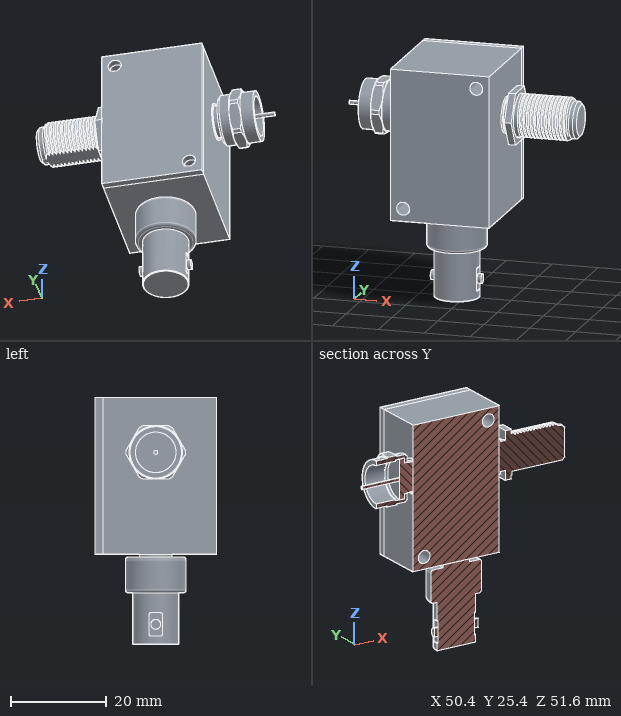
import cadquery as cq
import math


box_width = 21.5
box_depth = 25.4
box_height = 32.75
cover_thickness = 1.65
box_top = 11.45
box_bottom = box_top - box_height
screw_hole_diameter = 2.8
screw_hole_inset = 2.8

neck_radius = 3.4
hex_across_flats = 11.15
stub_radius = 3.9

plug_stub_length = 0.2
nut_rear = 1.4
nut_front = 9.2
nut_radius = 5.35
nut_rear_chamfer = 0.5
nut_hex_start = 4.0
nut_hex_end = 6.45
nut_hex_corner_radius = 6.2
nut_hex_bevel_radial = 0.6
nut_hex_bevel_axial = 0.35
nut_bore_radius = 4.25
nut_lip_end = 4.3
nut_seat = 2.15
plug_flange_radius = 4.5
plug_flange_front = 3.35
pin_radius = 0.4
pin_tip = 12.65

jack_stub_length = 0.35
jack_hex_start = 1.45
jack_hex_end = 2.95
jack_flat_start = 3.15
jack_flat_offset = 3.9
thread_start = 3.45
thread_end = 14.1
thread_radius = 4.7
thread_depth = 0.4
groove_end = 14.55
thread_turns = 14
groove_width = 0.55
groove_clearance = 0.05
jack_tip_start = 14.7
jack_tip_radius = 3.95
jack_tip_chamfer = 0.65
jack_length = 16.25

collar_start = 0.5
collar_end = 8.05
collar_radius = 6.35
collar_fillet = 0.6
socket_length = 51.6 - box_height
socket_radius = 4.85
socket_end_chamfer = 0.15
lug_distance = 14.6
lug_radius = 1.05
lug_reach = 5.5
lug_flat_offset = 4.65
lug_flat_length = 4.95
lug_flat_width = 2.85
lug_flat_corner = 0.5


def cylinder(start, end, radius):
    """Solid cylinder on the X axis."""
    return cq.Workplane("YZ", origin=(start, 0, 0)).circle(radius).extrude(end - start)


def turned(profile):
    """Solid turned about the X axis from (distance, radius) points that start and end on the axis."""
    return cq.Workplane("XY").polyline(profile).close().revolve(360, (0, 0, 0), (1, 0, 0))


def hexagon(start, end):
    """Hexagonal prism on the X axis with corners toward +Y and -Y."""
    across_corners = hex_across_flats / math.cos(math.pi / 6)
    return cq.Workplane("YZ", origin=(start, 0, 0)).polygon(6, across_corners).extrude(end - start)


def place_plug(body):
    """Turn a body that points along +X onto the -X wall."""
    return body.rotate((0, 0, 0), (0, 0, 1), 180).translate((-box_width / 2, 0, 0))


def place_jack(body):
    """Move a body that points along +X onto the +X wall."""
    return body.translate((box_width / 2, 0, 0))


def place_socket(body):
    """Turn a body that points along +X onto the bottom wall."""
    return body.rotate((0, 0, 0), (0, 1, 0), 90).translate((0, 0, box_bottom))


def box_slab(front_y, thickness):
    """Full-size slab of the box with the two screw holes through it."""
    middle_z = box_top - box_height / 2
    slab = cq.Workplane("XY").box(box_width, thickness, box_height)
    slab = slab.translate((0, front_y + thickness / 2, middle_z))
    hole_x = box_width / 2 - screw_hole_inset
    hole_z = box_height / 2 - screw_hole_inset
    for side in (1, -1):
        start = (side * hole_x, front_y, middle_z + side * hole_z)
        hole = cq.Workplane("XZ", origin=start).circle(screw_hole_diameter / 2).extrude(-thickness)
        slab = slab.cut(hole)
    return slab


def make_housing():
    return box_slab(-box_depth / 2, box_depth - cover_thickness)


def make_cover():
    return box_slab(box_depth / 2 - cover_thickness, cover_thickness)


def make_coupling_nut():
    """Round nut with a bevelled hexagon, bored for the mating thread and the plug flange."""
    sleeve = cylinder(nut_rear, nut_front, nut_radius).faces("<X").chamfer(nut_rear_chamfer)
    bevel_radius = nut_hex_corner_radius - nut_hex_bevel_radial
    rounded_corners = turned([
        (nut_hex_start, 0),
        (nut_hex_start, bevel_radius),
        (nut_hex_start + nut_hex_bevel_axial, nut_hex_corner_radius),
        (nut_hex_end - nut_hex_bevel_axial, nut_hex_corner_radius),
        (nut_hex_end, bevel_radius),
        (nut_hex_end, 0),
    ])
    nut = sleeve.union(hexagon(nut_hex_start, nut_hex_end).intersect(rounded_corners))
    nut = nut.cut(cylinder(nut_rear, nut_front, neck_radius))
    nut = nut.cut(cylinder(nut_seat, nut_lip_end, plug_flange_radius))
    nut = nut.cut(cylinder(nut_lip_end, nut_front, nut_bore_radius))
    return place_plug(nut)


def make_plug_body():
    """Neck with a flange that the coupling nut holds."""
    body = turned([
        (0, 0),
        (0, stub_radius),
        (plug_stub_length, stub_radius),
        (plug_stub_length, neck_radius),
        (nut_seat, neck_radius),
        (nut_seat, plug_flange_radius),
        (plug_flange_front, plug_flange_radius),
        (plug_flange_front, 0),
    ])
    return place_plug(body)


def make_plug_pin():
    return place_plug(cylinder(plug_flange_front, pin_tip, pin_radius))


def thread_groove():
    """V-shaped helical groove, made around Z and laid along X, that runs out on the end taper."""
    length = groove_end - thread_start
    helix = cq.Wire.makeHelix(length / thread_turns, length, thread_radius)
    section = cq.Workplane("XZ").polyline([
        (thread_radius + groove_clearance, -groove_width / 2),
        (thread_radius + groove_clearance, groove_width / 2),
        (thread_radius - thread_depth, 0),
    ]).close()
    groove = section.sweep(cq.Workplane(obj=helix), isFrenet=True)
    return groove.rotate((0, 0, 0), (0, 1, 0), 90).translate((thread_start, 0, 0))


def make_jack():
    """Hexagon flange and threaded barrel with a flat along its lower side."""
    jack = turned([
        (0, 0),
        (0, stub_radius),
        (jack_stub_length, stub_radius),
        (jack_stub_length, neck_radius),
        (jack_hex_end, neck_radius),
        (jack_hex_end, thread_radius),
        (thread_end, thread_radius),
        (jack_tip_start, jack_tip_radius),
        (jack_length - jack_tip_chamfer, jack_tip_radius),
        (jack_length, jack_tip_radius - jack_tip_chamfer),
        (jack_length, 0),
    ])
    below_flat = cq.Workplane("XY").box(
        jack_length - jack_flat_start, 2 * thread_radius, thread_radius, centered=(False, True, False)
    ).translate((jack_flat_start, 0, -jack_flat_offset - thread_radius))
    jack = jack.cut(below_flat)
    jack = jack.cut(thread_groove())
    jack = jack.union(hexagon(jack_hex_start, jack_hex_end))
    return place_jack(jack)


def make_socket():
    """Stepped round socket with two opposite flats for the bayonet lugs."""
    neck = cylinder(0, collar_start, neck_radius)
    collar = cylinder(collar_start, collar_end, collar_radius).edges().fillet(collar_fillet)
    barrel = cylinder(collar_end, socket_length, socket_radius).faces(">X").chamfer(socket_end_chamfer)
    socket = neck.union(collar).union(barrel)
    flat_pocket = (
        cq.Workplane("XY", origin=(lug_distance, 0, lug_flat_offset))
        .rect(lug_flat_length, lug_flat_width)
        .extrude(socket_radius - lug_flat_offset)
        .edges("|Z")
        .fillet(lug_flat_corner)
    )
    socket = socket.cut(flat_pocket).cut(flat_pocket.mirror("XY"))
    return place_socket(socket)


def make_lug(side):
    """Bayonet lug standing on the flat of one side of the socket."""
    start = (side * lug_flat_offset, 0, box_bottom - lug_distance)
    lug_height = lug_reach - lug_flat_offset
    return cq.Workplane("YZ", origin=start).circle(lug_radius).extrude(side * lug_height)


housing = make_housing()
cover = make_cover()
coupling_nut = make_coupling_nut()
plug_body = make_plug_body()
plug_pin = make_plug_pin()
jack = make_jack()
socket = make_socket()
lugs = [make_lug(side) for side in (-1, 1)]

result = cq.Compound.makeCompound([
    housing.val(),
    cover.val(),
    coupling_nut.val(),
    plug_body.val(),
    plug_pin.val(),
    jack.val(),
    socket.val(),
    *[lug.val() for lug in lugs],
])